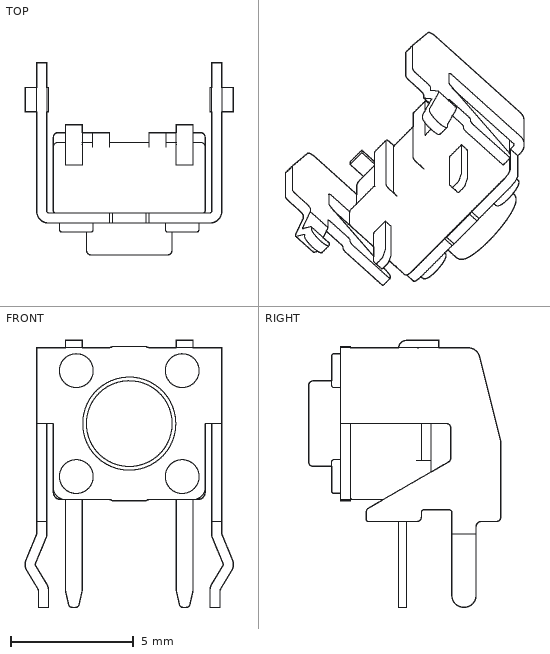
import cadquery as cq
import math


sheet = 0.42
bend_inner_radius = 0.08
bend_outer_radius = bend_inner_radius + sheet
bracket_half_width = 3.78
bracket_back = 6.55

housing_half_size = 3.1
housing_back = 3.3
housing_edge_radius = 0.3
housing_front_edge_radius = 0.08
housing_back_edge_radius = 0.2
foot_depth = 3.7
foot_top = -1.5
tooth_inner_x = 0.8
tooth_outer_x = 1.5
foot_back_edge_radius = 0.2

plunger_radius = 1.75
plunger_height = 1.3
plunger_edge_radius = 0.2
plunger_hole_radius = 1.9
rivet_radius = 0.69
rivet_height = 0.36
rivet_edge_radius = 0.1
rivet_offset = 2.16
rivet_centers = [(sx * rivet_offset, sz * rivet_offset) for sx in (-1, 1) for sz in (-1, 1)]

lead_bottom = -7.5

terminal_thickness = 0.33
terminal_width = 0.7
terminal_x = 2.26
terminal_front = 2.37
terminal_hook_end = 4.02
terminal_top = 3.4
terminal_tip_half_width = 0.19
terminal_taper_start = -6.8
terminal_tip_radius = 0.15

plate_corner_radius = 0.5
bump_height = 0.05
bump_base_half_width = 0.8
bump_crest_half_width = 0.68

side_top = housing_half_size
side_bottom = -4.0
slope_top_y = 5.59
slope_bottom_z = -0.74
slope_corner_radius = 0.5
leg_front = 4.54
leg_width = 1.0
leg_back = leg_front + leg_width
leg_root = -4.4
notch_front = 3.31
notch_top = -3.52
window_back = 4.5
arm_front = 1.05
arm_nose_z = -3.5
arm_angle = math.radians(30)
window_bottom = arm_nose_z + (window_back - arm_front) * math.tan(arm_angle)
window_radius = 0.18
small_corner_radius = 0.1
corner_radius = 0.2

leg_center_x = bracket_half_width - sheet / 2
leg_knee_x = 4.075
leg_end_x = 3.5
leg_upper_bend_z = -4.55
leg_knee_z = -5.77
leg_lower_bend_z = -6.72
leg_path = [
    (leg_center_x, leg_root),
    (leg_center_x, leg_upper_bend_z),
    (leg_knee_x, leg_knee_z),
    (leg_end_x, leg_lower_bend_z),
    (leg_end_x, lead_bottom),
]


def mirrored(body):
    """The body together with its mirror image across the YZ plane."""
    return body.union(body.mirror("YZ"))


def box_between(x0, x1, y0, y1, z0, z1):
    return cq.Workplane("XY").box(x1 - x0, y1 - y0, z1 - z0, centered=False).translate((x0, y0, z0))


def front_cylinder(x, z, radius, y_front, y_back):
    return (
        cq.Workplane("XZ", origin=(x, y_front, z))
        .circle(radius)
        .extrude(y_front - y_back)
    )


def offset_path(points, distance):
    """Mitred parallel copy of a path, shifted to its left by the given distance."""
    directions = []
    for (x0, z0), (x1, z1) in zip(points, points[1:]):
        directions.append(math.atan2(z1 - z0, x1 - x0))
    shifted = []
    for index, (x, z) in enumerate(points):
        before = directions[max(index - 1, 0)]
        after = directions[min(index, len(directions) - 1)]
        normal = (before + after + math.pi) / 2
        reach = distance / math.cos((after - before) / 2)
        shifted.append((x + reach * math.cos(normal), z + reach * math.sin(normal)))
    return shifted


def front_plate():
    upper = (
        box_between(-bracket_half_width, bracket_half_width, 0, 2 * bend_outer_radius, 0, side_top)
        .edges("|Z and <Y")
        .fillet(bend_outer_radius)
    )
    inner_half_width = bracket_half_width - sheet
    hollow = (
        box_between(-inner_half_width, inner_half_width, sheet, bracket_back, 0, side_top)
        .edges("|Z and <Y")
        .fillet(bend_inner_radius)
    )
    lower = (
        box_between(-housing_half_size, housing_half_size, 0, sheet, -housing_half_size, 0)
        .edges("|Y and <Z")
        .fillet(plate_corner_radius)
    )
    bump_z = housing_half_size + bump_height
    bumps = (
        cq.Workplane("XZ")
        .polyline([
            (-bump_base_half_width, -housing_half_size),
            (-bump_crest_half_width, -bump_z),
            (bump_crest_half_width, -bump_z),
            (bump_base_half_width, -housing_half_size),
            (bump_base_half_width, housing_half_size),
            (bump_crest_half_width, bump_z),
            (-bump_crest_half_width, bump_z),
            (-bump_base_half_width, housing_half_size),
        ])
        .close()
        .extrude(-sheet)
    )
    return upper.cut(hollow).union(lower).union(bumps)


def round_corners(plate, corners, radius):
    """Fillet the edges along X that pass through the given (y, z) corners."""
    middle_x = bracket_half_width - sheet / 2
    for y, z in corners:
        edge = cq.selectors.NearestToPointSelector((middle_x, y, z))
        plate = plate.edges("|X").edges(edge).fillet(radius)
    return plate


def side_plate():
    slope_top = (slope_top_y, side_top)
    window_top_corner = (window_back, 0)
    window_bottom_corner = (window_back, window_bottom)
    arm_nose = (arm_front, arm_nose_z)
    arm_heel = (arm_front, side_bottom)
    notch_mouth = (notch_front, side_bottom)
    notch_front_corner = (notch_front, notch_top)
    notch_back_corner = (leg_front, notch_top)
    leg_shoulder = (leg_back, side_bottom)
    back_heel = (bracket_back, side_bottom)
    plate = (
        cq.Workplane("YZ", origin=(bracket_half_width - sheet, 0, 0))
        .polyline([
            (bend_outer_radius, side_top),
            slope_top,
            (bracket_back, slope_bottom_z),
            back_heel,
            leg_shoulder,
            (leg_back, leg_root),
            (leg_front, leg_root),
            notch_back_corner,
            notch_front_corner,
            notch_mouth,
            arm_heel,
            arm_nose,
            window_bottom_corner,
            window_top_corner,
            (bend_outer_radius, 0),
        ])
        .close()
        .extrude(sheet)
    )
    plate = round_corners(plate, [slope_top], slope_corner_radius)
    plate = round_corners(plate, [window_top_corner, window_bottom_corner], window_radius)
    plate = round_corners(plate, [back_heel, leg_shoulder, notch_mouth, arm_nose], corner_radius)
    small_corners = [notch_back_corner, notch_front_corner, arm_heel]
    return round_corners(plate, small_corners, small_corner_radius)


def snap_leg():
    inner_side = offset_path(leg_path, -sheet / 2)
    outer_side = offset_path(leg_path, sheet / 2)
    leg = (
        cq.Workplane("XZ", origin=(0, leg_front, 0))
        .polyline(inner_side + outer_side[::-1])
        .close()
        .extrude(-leg_width)
    )
    middle_y = leg_front + leg_width / 2
    bends = [
        (outer_side[2], bend_outer_radius),
        (inner_side[2], bend_inner_radius),
        (inner_side[3], bend_outer_radius),
        (outer_side[3], bend_inner_radius),
    ]
    for (x, z), radius in bends:
        edge = cq.selectors.NearestToPointSelector((x, middle_y, z))
        leg = leg.edges("|Y").edges(edge).fillet(radius)
    tip_radius = leg_width / 2
    tip_shape = (
        cq.Workplane("YZ")
        .moveTo(leg_front, leg_root)
        .lineTo(leg_front, lead_bottom + tip_radius)
        .threePointArc((middle_y, lead_bottom), (leg_back, lead_bottom + tip_radius))
        .lineTo(leg_back, leg_root)
        .close()
        .extrude(2 * bracket_half_width)
    )
    return leg.intersect(tip_shape)


def make_bracket():
    bracket = front_plate().union(mirrored(side_plate().union(snap_leg())))
    bracket = bracket.cut(front_cylinder(0, 0, plunger_hole_radius, 0, sheet))
    for x, z in rivet_centers:
        bracket = bracket.cut(front_cylinder(x, z, rivet_radius, 0, sheet))
    return bracket


def housing_box():
    size = housing_half_size
    return (
        box_between(-size, size, sheet, housing_back, -size, size)
        .edges("|Y")
        .fillet(housing_edge_radius)
        .faces("<Y")
        .edges()
        .fillet(housing_front_edge_radius)
        .faces(">Y")
        .edges()
        .fillet(housing_back_edge_radius)
    )


def back_foot():
    """Low foot in a back corner with a tooth rising from its inner end."""
    foot_front = housing_back - 2 * housing_back_edge_radius
    foot = (
        box_between(tooth_inner_x, housing_half_size, foot_front, foot_depth, -housing_half_size, foot_top)
        .edges("|Y and >X and <Z")
        .fillet(housing_edge_radius)
        .edges("|Z and >X and >Y")
        .fillet(foot_back_edge_radius)
    )
    tooth = (
        box_between(tooth_inner_x, tooth_outer_x, foot_front, foot_depth, foot_top, housing_half_size)
        .edges("|X and >Y and >Z")
        .fillet(foot_back_edge_radius)
    )
    return foot.union(tooth)


def terminal():
    half_width = terminal_width / 2
    pin = (
        cq.Workplane("XZ", origin=(terminal_x, terminal_front, 0))
        .polyline([
            (-half_width, terminal_top),
            (-half_width, terminal_taper_start),
            (-terminal_tip_half_width, lead_bottom),
            (terminal_tip_half_width, lead_bottom),
            (half_width, terminal_taper_start),
            (half_width, terminal_top),
        ])
        .close()
        .extrude(-terminal_thickness)
        .faces("<Z")
        .edges("|Y")
        .fillet(terminal_tip_radius)
    )
    hook = box_between(
        terminal_x - half_width,
        terminal_x + half_width,
        terminal_front,
        terminal_hook_end,
        terminal_top - terminal_thickness,
        terminal_top,
    )
    return pin.union(hook).edges("|X and <Y and >Z").fillet(terminal_thickness)


def plunger():
    body = front_cylinder(0, 0, plunger_radius, -plunger_height, housing_back / 2)
    return body.faces("<Y").edges().fillet(plunger_edge_radius)


def rivet(x, z):
    body = front_cylinder(x, z, rivet_radius, -rivet_height, housing_back / 2)
    return body.faces("<Y").edges().fillet(rivet_edge_radius)


def make_switch():
    switch = housing_box().union(plunger())
    switch = switch.union(mirrored(back_foot())).union(mirrored(terminal()))
    for x, z in rivet_centers:
        switch = switch.union(rivet(x, z))
    return switch


bracket = make_bracket()
switch = make_switch()

result = cq.Compound.makeCompound([bracket.solids().val(), switch.solids().val()])